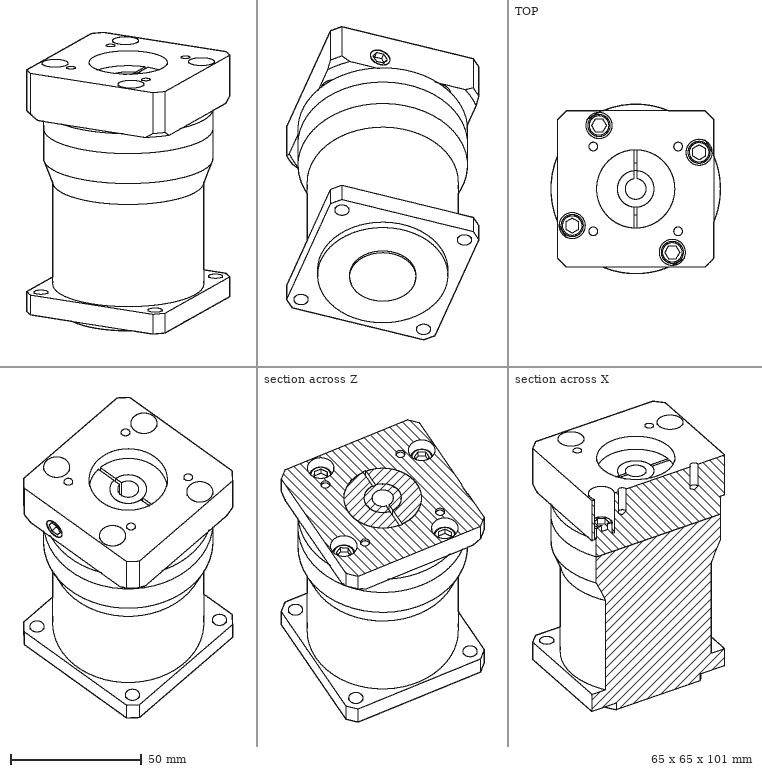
import cadquery as cq
import math

TOTAL_HEIGHT = 101.0

SQUARE_SIDE = 60.0
CORNER_CHAMFER = 3.4
DIAGONAL_ANGLE = 45.0

HOLE_COUNT = 4
HOLE_STEP = 360 / HOLE_COUNT

BOSS_DIAMETER = 25.5
BOSS_HEIGHT = 1.0
PILOT_DIAMETER = 50.0
PILOT_HEIGHT = 3.0
FLANGE_HEIGHT = 8.0
BARREL_DIAMETER = 58.0
BARREL_HEIGHT = 41.0
CONE_HEIGHT = 9.5
RING_DIAMETER = 65.0
RING_HEIGHT = 12.0

PILOT_BOTTOM = BOSS_HEIGHT
FLANGE_BOTTOM = PILOT_BOTTOM + PILOT_HEIGHT
BARREL_BOTTOM = FLANGE_BOTTOM + FLANGE_HEIGHT
CONE_BOTTOM = BARREL_BOTTOM + BARREL_HEIGHT
RING_BOTTOM = CONE_BOTTOM + CONE_HEIGHT
GEARBOX_TOP = RING_BOTTOM + RING_HEIGHT

FLANGE_HOLE_DIAMETER = 5.5
FLANGE_HOLE_CIRCLE = 70.0

HUB_DIAMETER = 30.0
HUB_RECESS = 6.0
HUB_TOP = TOTAL_HEIGHT - HUB_RECESS
SLIT_WIDTH = 1.1
SLIT_DEPTH = 12.1
SLIT_CORE_DEPTH = 15.2
SLIT_CORE_DIAMETER = 20.0

SLEEVE_DIAMETER = 14.0
SLEEVE_BORE = 8.0
SLEEVE_LENGTH = 18.2
SLEEVE_BOTTOM = HUB_TOP - SLEEVE_LENGTH

COLLAR_HEIGHT = 8.0
PLATE_BOTTOM = GEARBOX_TOP + COLLAR_HEIGHT
PLATE_HEIGHT = TOTAL_HEIGHT - PLATE_BOTTOM
PLATE_TURNED_DIAMETER = 76.0
MOTOR_HOLE_DIAMETER = 3.3
MOTOR_HOLE_CIRCLE = 46.0
MOTOR_HOLE_DEPTH = 10.1
DRILL_POINT_ANGLE = 118.0

HEX_ACROSS_FLATS = 4.9
HEX_ACROSS_CORNERS = HEX_ACROSS_FLATS / math.cos(math.pi / 6)
HEX_DEPTH = 2.5
SCREW_CIRCLE = 56.2
SCREW_FIRST_ANGLE = 30.0
SCREW_HOLE_DIAMETER = 10.0
SCREW_HOLE_DEPTH = 18.2
SCREW_HEAD_DIAMETER = 8.5
SCREW_HEAD_HEIGHT = 5.0
SCREW_HEAD_CHAMFER = 0.5

PLUG_DIAMETER = 7.9
PLUG_RECESS = 0.2
PLUG_Y = 11.0
PLUG_Z = TOTAL_HEIGHT - 12.0


def cylinder(diameter, bottom, height):
    """Upright cylinder on the Z axis."""
    return cq.Workplane("XY").workplane(offset=bottom).circle(diameter / 2).extrude(height)


def square_plate(bottom, height):
    """Square plate with chamfered vertical corners."""
    plate = cq.Workplane("XY").workplane(offset=bottom).rect(SQUARE_SIDE, SQUARE_SIDE).extrude(height)
    return plate.edges("|Z").chamfer(CORNER_CHAMFER)


def circle_points(diameter, first_angle):
    """Points equally spaced on a circle."""
    angles = [math.radians(first_angle + HOLE_STEP * i) for i in range(HOLE_COUNT)]
    return [(diameter / 2 * math.cos(a), diameter / 2 * math.sin(a)) for a in angles]


def make_slit_cutter():
    """Slit across the hub along Y, deeper inside the core diameter."""
    outer = (
        cq.Workplane("XY").workplane(offset=HUB_TOP - SLIT_DEPTH)
        .rect(SLIT_WIDTH, HUB_DIAMETER).extrude(SLIT_DEPTH)
    )
    core = (
        cq.Workplane("XY").workplane(offset=HUB_TOP - SLIT_CORE_DEPTH)
        .rect(SLIT_WIDTH, SLIT_CORE_DIAMETER).extrude(SLIT_CORE_DEPTH)
        .intersect(cylinder(SLIT_CORE_DIAMETER, HUB_TOP - SLIT_CORE_DEPTH, SLIT_CORE_DEPTH))
    )
    return outer.union(core)


def make_gearbox():
    """Gearbox housing with its mounting flange and the slit clamping hub."""
    body = (
        cq.Workplane("XZ")
        .moveTo(0, 0)
        .lineTo(BOSS_DIAMETER / 2, 0)
        .lineTo(BOSS_DIAMETER / 2, PILOT_BOTTOM)
        .lineTo(PILOT_DIAMETER / 2, PILOT_BOTTOM)
        .lineTo(PILOT_DIAMETER / 2, FLANGE_BOTTOM)
        .lineTo(BARREL_DIAMETER / 2, FLANGE_BOTTOM)
        .lineTo(BARREL_DIAMETER / 2, CONE_BOTTOM)
        .lineTo(RING_DIAMETER / 2, RING_BOTTOM)
        .lineTo(RING_DIAMETER / 2, GEARBOX_TOP)
        .lineTo(HUB_DIAMETER / 2, GEARBOX_TOP)
        .lineTo(HUB_DIAMETER / 2, HUB_TOP)
        .lineTo(0, HUB_TOP)
        .close()
        .revolve(360, (0, 0), (0, 1))
    )
    flange_holes = (
        cq.Workplane("XY").workplane(offset=FLANGE_BOTTOM)
        .pushPoints(circle_points(FLANGE_HOLE_CIRCLE, DIAGONAL_ANGLE))
        .circle(FLANGE_HOLE_DIAMETER / 2).extrude(FLANGE_HEIGHT)
    )
    sleeve_socket = cylinder(SLEEVE_DIAMETER, SLEEVE_BOTTOM, SLEEVE_LENGTH)
    flange = square_plate(FLANGE_BOTTOM, FLANGE_HEIGHT).cut(flange_holes)
    return body.union(flange).cut(sleeve_socket).cut(make_slit_cutter())


def make_sleeve():
    """Reducing sleeve, slit on its +Y side over its whole length."""
    sleeve = cylinder(SLEEVE_DIAMETER, SLEEVE_BOTTOM, SLEEVE_LENGTH)
    bore = cylinder(SLEEVE_BORE, SLEEVE_BOTTOM, SLEEVE_LENGTH)
    slit = (
        cq.Workplane("XY").workplane(offset=SLEEVE_BOTTOM)
        .center(0, SLEEVE_DIAMETER / 4)
        .rect(SLIT_WIDTH, SLEEVE_DIAMETER / 2).extrude(SLEEVE_LENGTH)
    )
    return sleeve.cut(bore).cut(slit)


def make_turned_limit():
    """Cone that bevels the lower corners of the motor plate at 45 degrees."""
    bottom_radius = PLATE_TURNED_DIAMETER / 2
    return (
        cq.Workplane("XZ")
        .moveTo(0, PLATE_BOTTOM)
        .lineTo(bottom_radius, PLATE_BOTTOM)
        .lineTo(bottom_radius + PLATE_HEIGHT, TOTAL_HEIGHT)
        .lineTo(0, TOTAL_HEIGHT)
        .close()
        .revolve(360, (0, 0), (0, 1))
    )


def make_motor_hole_cutter():
    """Blind drilled hole, entered from Z = 0 downwards."""
    radius = MOTOR_HOLE_DIAMETER / 2
    point_height = radius / math.tan(math.radians(DRILL_POINT_ANGLE / 2))
    return (
        cq.Workplane("XZ")
        .lineTo(radius, 0)
        .lineTo(radius, -MOTOR_HOLE_DEPTH)
        .lineTo(0, -MOTOR_HOLE_DEPTH - point_height)
        .close()
        .revolve(360, (0, 0), (0, 1))
    )


def make_screw_hole_cutter():
    """Deep hole, entered from Z = 0 downwards, that leaves a hex socket head on its floor."""
    head = (
        cylinder(SCREW_HEAD_DIAMETER, -SCREW_HOLE_DEPTH, SCREW_HEAD_HEIGHT)
        .faces(">Z").chamfer(SCREW_HEAD_CHAMFER)
        .faces(">Z").workplane().polygon(6, HEX_ACROSS_CORNERS).cutBlind(-HEX_DEPTH)
    )
    return cylinder(SCREW_HOLE_DIAMETER, -SCREW_HOLE_DEPTH, SCREW_HOLE_DEPTH).cut(head)


def make_plug_cutter():
    """Shallow round recess in the -X face with a hex socket in its floor."""
    face = cq.Workplane("YZ", origin=(-SQUARE_SIDE / 2, PLUG_Y, PLUG_Z))
    recess = face.circle(PLUG_DIAMETER / 2).extrude(PLUG_RECESS)
    socket = face.polygon(6, HEX_ACROSS_CORNERS).extrude(PLUG_RECESS + HEX_DEPTH)
    return recess.union(socket)


def make_adapter():
    """Motor adapter with its bore, motor holes, screw heads and side plug."""
    plate = square_plate(PLATE_BOTTOM, PLATE_HEIGHT).intersect(make_turned_limit())
    adapter = cylinder(RING_DIAMETER, GEARBOX_TOP, COLLAR_HEIGHT).union(plate)
    adapter = adapter.cut(cylinder(HUB_DIAMETER, GEARBOX_TOP, TOTAL_HEIGHT - GEARBOX_TOP))
    motor_hole = make_motor_hole_cutter()
    for x, y in circle_points(MOTOR_HOLE_CIRCLE, DIAGONAL_ANGLE):
        adapter = adapter.cut(motor_hole.translate((x, y, TOTAL_HEIGHT)))
    screw_hole = make_screw_hole_cutter()
    for i, (x, y) in enumerate(circle_points(SCREW_CIRCLE, SCREW_FIRST_ANGLE)):
        turned_hole = screw_hole.rotate((0, 0, 0), (0, 0, 1), HOLE_STEP * (i + 1))
        adapter = adapter.cut(turned_hole.translate((x, y, TOTAL_HEIGHT)))
    return adapter.cut(make_plug_cutter())


gearbox = make_gearbox()
adapter = make_adapter()
sleeve = make_sleeve()

result = cq.Compound.makeCompound([gearbox.val(), adapter.val(), sleeve.val()])